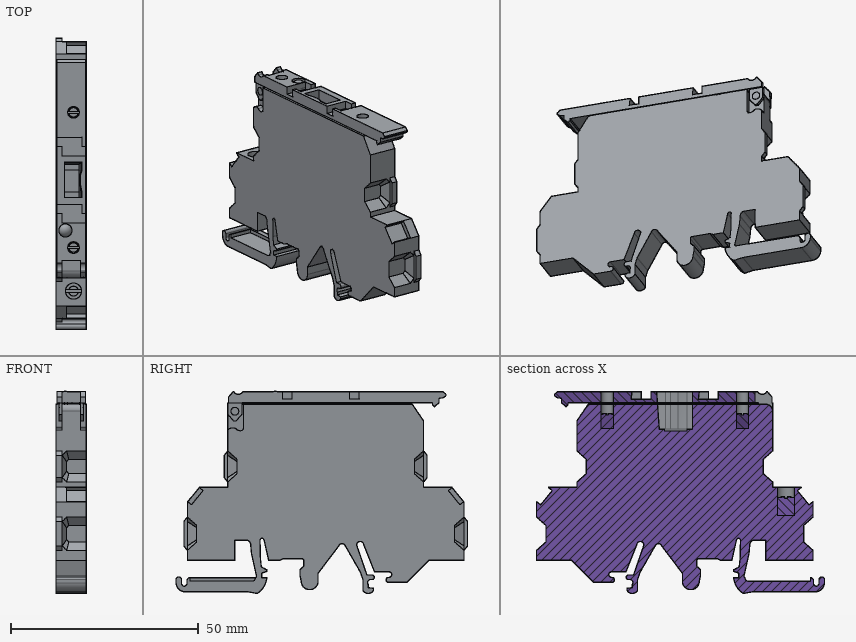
import cadquery as cq
import math


thickness = 8.12
half_thickness = thickness / 2
housing_top = 50.45
tower_half_width = 26.08
ledge_top = 28.35
ledge_half_width = 36.84
ledge_chamfer_start = 33.57
ledge_chamfer_bottom = 24.37
ledge_bottom = 8.82
tower_chamfer_width = 3.04
tower_chamfer_height = 4.45
lever_top = 4.26
lever_recess_depth = 0.95
lever_recess_front_y = -36.1
lever_recess_back_y = -18.7

bump_height = 0.94
bump_root = 1.0
bump_slope = 1.17
side_wall = 1.66
side_wall_inner_x = -half_thickness + side_wall
tower_entry_low = 29.7
tower_entry_high = 38.0
ledge_entry_low = 11.5
ledge_entry_high = 20.4
entry_depth = 2.5
entry_slope_height = 2.25
entry_slope_width = 1.15
entry_mouth_corner = 1.2
entry_floor_corner = 0.6
marker_recess_depth = 1.3
marker_recess_margin = 0.15
marker_recess_x = -1.3

hub_radius = 1.9
hub_half_width = 2.4
hinge_y = -(tower_half_width - hub_radius)
hinge_z = housing_top - hub_radius
hinge_pin_radius = 1.05
hinge_leg_thickness = 0.85
hinge_leg_half_width = 1.9
hinge_leg_tip_half_width = 0.35
hinge_leg_straight = 3.0
hinge_leg_length = 4.75
leg_recess_y = -21.87
leg_recess_front_overrun = 1.0
leg_recess_front_z = 43.5

cover_width = 7.6
cover_gap = 0.3
cover_bottom = housing_top + cover_gap
cover_top = 53.8
hub_notch_y = -21.4
label_recess_depth = 2.05
label_recess_step = 2.45
label_recess_length = 4.95
label_recess_undercut = 0.25
label_recess_starts = (11.35, -6.55)
label_recess_x_low = -2.4
label_recess_x_high = 2.8
window_x_low = -1.75
window_x_high = 2.85
window_rib_x = 2.4
window_floor_x_high = 2.05
window_y_high = 4.8
window_y_low = -4.7
window_rib_base_y = (-3.2, 2.5)
window_rib_crest_y = (-0.9, 1.1)
window_depth = 10.0
window_end_slope = 0.7
window_floor_step = 0.5
window_floor_step_y = (-3.2, 2.7)

screw_x = 0.6
slot_depth = 0.4
head_step_depth = 0.2
cover_screw_y = 18.0
cover_screw_diameter = 3.1
cover_screw_center_diameter = 2.5
cover_screw_slot = 0.5
cover_screw_top = 48.0
cover_screw_length = 4.0
ledge_screw_y = -29.6
ledge_screw_diameter = 4.3
ledge_screw_center_diameter = 2.6
ledge_screw_slot = 0.75
ledge_screw_top = ledge_top - 2.5
ledge_screw_length = 5.0
lamp_x = -1.55
lamp_y = -13.45
lamp_radius = 1.75
lamp_top = 53.9


def side_profile(x):
    """Sketch plane across the thickness: local x is Y, local y is Z."""
    return cq.Workplane("YZ", origin=(x, 0, 0))


def box(x_low, x_high, y_low, y_high, z_low, z_high):
    size = (x_high - x_low, y_high - y_low, z_high - z_low)
    return cq.Workplane("XY").box(*size, centered=False).translate((x_low, y_low, z_low))


def upright_cylinder(x, y, z_low, z_high, radius):
    return cq.Workplane("XY", origin=(x, y, z_low)).circle(radius).extrude(z_high - z_low)


def housing_body():
    """Tower, ledges and rail foot as one outline, drawn from the tower top down the +Y side."""
    outline = (
        side_profile(-half_thickness)
        .moveTo(hinge_y, housing_top)
        .lineTo(tower_half_width - tower_chamfer_width, housing_top)
        .lineTo(tower_half_width, housing_top - tower_chamfer_height)
        .lineTo(tower_half_width, ledge_top)
        .lineTo(ledge_chamfer_start, ledge_top)
        .lineTo(ledge_half_width, ledge_chamfer_bottom)
        .lineTo(ledge_half_width, ledge_bottom)
        .lineTo(27.49, ledge_bottom)
        .lineTo(21.64, 2.97)
        .lineTo(16.75, 2.97)
        .threePointArc((16.05, 3.62), (16.75, 4.35))
        .threePointArc((17.54, 5.05), (16.85, 5.78))
        .lineTo(12.98, 5.78)
        .lineTo(10.06, 13.1)
        .threePointArc((9.0, 13.85), (8.42, 12.5))
        .lineTo(10.99, 5.0)
        .lineTo(12.3, 5.0)
        .threePointArc((12.95, 4.3), (12.3, 3.7))
        .threePointArc((11.35, 3.4), (11.35, 2.4))
        .lineTo(11.35, 1.6)
        .lineTo(12.75, 1.45)
        .lineTo(12.75, 0.9)
        .threePointArc((11.31, 0), (9.87, 0.9))
        .lineTo(9.87, 3.79)
        .lineTo(9.24, 5.66)
        .lineTo(5.2, 12.7)
        .threePointArc((4.4, 13.26), (3.5, 12.68))
        .lineTo(-1.99, 5.43)
        .lineTo(-1.99, 3.32)
        .threePointArc((-4.28, 1.03), (-6.55, 3.32))
        .lineTo(-6.9, 4.96)
        .lineTo(-6.9, 6.36)
        .lineTo(-5.85, 7.3)
        .lineTo(-5.85, 8.7)
        .threePointArc((-5.98, 9.1), (-6.38, 9.24))
        .lineTo(-11.4, 9.24)
        .lineTo(-12.28, ledge_bottom)
        .lineTo(-15.2, ledge_bottom)
        .lineTo(-16.45, 14.3)
        .threePointArc((-16.95, 14.7), (-17.45, 14.3))
        .lineTo(-17.35, 9.4)
        .lineTo(-17.1, 7.1)
        .lineTo(-15.67, 6.36)
        .lineTo(-15.67, 5.89)
        .lineTo(-17.0, 5.43)
        .lineTo(-17.0, 4.26)
        .lineTo(-15.63, 4.26)
        .threePointArc((-16.4, 1.9), (-18.2, 0))
        .lineTo(-20.7, 0.44)
        .lineTo(-37.4, 0.44)
        .threePointArc((-39.1, 1.15), (-39.88, 2.8))
        .lineTo(-39.88, 3.79)
        .threePointArc((-39.12, 4.45), (-38.36, 3.79))
        .lineTo(-38.36, 2.7)
        .threePointArc((-37.66, 2.0), (-36.96, 2.7))
        .lineTo(-36.96, 3.4)
        .threePointArc((-36.8, 3.9), (-36.35, lever_top))
        .lineTo(-18.9, lever_top)
        .threePointArc((-18.5, 4.4), (-18.48, 4.8))
        .lineTo(-19.77, 10.57)
        .lineTo(-20.0, 12.9)
        .threePointArc((-20.25, 13.75), (-21.0, 14.2))
        .lineTo(-24.21, 14.2)
        .lineTo(-24.21, ledge_bottom)
        .lineTo(-ledge_half_width, ledge_bottom)
        .lineTo(-ledge_half_width, ledge_chamfer_bottom)
        .lineTo(-ledge_chamfer_start, ledge_top)
        .lineTo(-tower_half_width, ledge_top)
        .lineTo(-tower_half_width, hinge_z)
        .radiusArc((hinge_y, housing_top), hub_radius)
        .close()
    )
    return outline.extrude(thickness)


def guard_bump(face_y, z_low, z_high):
    """Raised strip on the -X side wall next to a wire entry on the +Y face."""
    bump_y = face_y + bump_height
    outline = [
        (face_y - bump_root, z_low),
        (face_y, z_low),
        (bump_y, z_low + bump_slope),
        (bump_y, z_high - bump_slope),
        (face_y, z_high),
        (face_y - bump_root, z_high),
    ]
    return side_profile(-half_thickness).polyline(outline).close().extrude(side_wall)


def entry_outline(x_low, z_low, z_high, corner):
    """Rectangle open toward +X with its two -X corners cut off, in X and Z."""
    return [
        (half_thickness, z_low),
        (x_low + corner, z_low),
        (x_low, z_low + corner),
        (x_low, z_high - corner),
        (x_low + corner, z_high),
        (half_thickness, z_high),
    ]


def wire_entry(face_y, z_low, z_high):
    """Funnel that narrows from the +Y face inward and is open on the +X side."""
    mouth = entry_outline(side_wall_inner_x, z_low, z_high, entry_mouth_corner)
    floor = entry_outline(
        side_wall_inner_x + entry_slope_width,
        z_low + entry_slope_height,
        z_high - entry_slope_height,
        entry_floor_corner,
    )
    return (
        cq.Workplane("XZ", origin=(0, face_y, 0))
        .polyline(mouth)
        .close()
        .workplane(offset=entry_depth)
        .polyline(floor)
        .close()
        .loft(ruled=True)
    )


def marker_recess():
    """Shallow recess in the sloped edge of the +Y ledge, open on the +X side."""
    run = ledge_half_width - ledge_chamfer_start
    drop = ledge_top - ledge_chamfer_bottom
    slope_length = math.hypot(run, drop)
    along = (run / slope_length, -drop / slope_length)
    outward = (-along[1], along[0])

    def slope_point(distance, height):
        return (
            ledge_chamfer_start + along[0] * distance + outward[0] * height,
            ledge_top + along[1] * distance + outward[1] * height,
        )

    first = marker_recess_margin
    last = slope_length - marker_recess_margin
    outline = [
        slope_point(first, marker_recess_depth),
        slope_point(last, marker_recess_depth),
        slope_point(last, -marker_recess_depth),
        slope_point(first, -marker_recess_depth),
    ]
    return side_profile(marker_recess_x).polyline(outline).close().extrude(half_thickness - marker_recess_x)


def leg_recess():
    """Room for a hinge leg beside the hub on the +X side, with a wavy bottom edge."""
    front_y = -tower_half_width - leg_recess_front_overrun
    return (
        side_profile(hub_half_width)
        .moveTo(leg_recess_y, housing_top)
        .lineTo(leg_recess_y, 44.3)
        .threePointArc((-22.15, 43.6), (-22.8, 43.35))
        .threePointArc((-23.4, 43.5), (-23.9, 43.9))
        .threePointArc((-24.3, 44.1), (-24.8, 44.15))
        .threePointArc((-25.5, 43.95), (-tower_half_width, leg_recess_front_z))
        .lineTo(front_y, leg_recess_front_z)
        .lineTo(front_y, housing_top)
        .close()
        .extrude(half_thickness - hub_half_width)
    )


def hinge_pins(length):
    """Pin of the hinge, reaching from the middle plane to both sides."""
    return side_profile(-length).center(hinge_y, hinge_z).circle(hinge_pin_radius).extrude(2 * length)


def both_ends(shape):
    return [shape, shape.mirror("XZ")]


def lever_recess():
    """Lowered top of the release lever and its root, open on the +X side."""
    floor_z = lever_top - lever_recess_depth
    return (
        side_profile(side_wall_inner_x)
        .moveTo(lever_recess_front_y, lever_top)
        .lineTo(lever_recess_front_y, floor_z)
        .lineTo(lever_recess_back_y - lever_recess_depth, floor_z)
        .radiusArc((lever_recess_back_y, lever_top), -lever_recess_depth)
        .close()
        .extrude(half_thickness - side_wall_inner_x)
    )


def window_outline(x_high, rib_x, y_high):
    """Plan of the window, with a rib bulging inward from its +X wall."""
    return [
        (window_x_low, window_y_low),
        (x_high, window_y_low),
        (x_high, window_rib_base_y[0]),
        (rib_x, window_rib_crest_y[0]),
        (rib_x, window_rib_crest_y[1]),
        (x_high, window_rib_base_y[1]),
        (x_high, y_high),
        (window_x_low, y_high),
    ]


def window_well():
    """Well through the cover into the housing, with sloped +X and +Y walls and a stepped floor."""
    floor_z = cover_top - window_depth
    mouth = window_outline(window_x_high, window_rib_x, window_y_high)
    floor = window_outline(window_floor_x_high, window_floor_x_high, window_y_high - window_end_slope)
    well = (
        cq.Workplane("XY", origin=(0, 0, cover_top))
        .polyline(mouth)
        .close()
        .workplane(offset=-window_depth)
        .polyline(floor)
        .close()
        .loft(ruled=True)
    )
    step = box(
        window_x_low,
        window_floor_x_high,
        *window_floor_step_y,
        floor_z - window_floor_step,
        floor_z + window_floor_step,
    )
    return well.union(step)


housing = housing_body()
entries = (
    (tower_half_width, tower_entry_low, tower_entry_high),
    (ledge_half_width, ledge_entry_low, ledge_entry_high),
)
for entry in entries:
    for bump in both_ends(guard_bump(*entry)):
        housing = housing.union(bump)
    for funnel in both_ends(wire_entry(*entry)):
        housing = housing.cut(funnel)
for recess in both_ends(marker_recess()):
    housing = housing.cut(recess)
for recess in (leg_recess(), leg_recess().mirror("YZ")):
    housing = housing.cut(recess)
housing = housing.cut(lever_recess())
housing = housing.union(hinge_pins(hub_half_width + hinge_leg_thickness))
housing = housing.cut(window_well())


def slotted_screw(y, top, length, diameter, center_diameter, slot_width):
    """Slotted screw whose head has a raised center."""
    rim_top = top - head_step_depth
    screw = upright_cylinder(screw_x, y, top - length, rim_top, diameter / 2)
    screw = screw.union(upright_cylinder(screw_x, y, rim_top, top, center_diameter / 2))
    slot = box(
        screw_x - diameter,
        screw_x + diameter,
        y - slot_width / 2,
        y + slot_width / 2,
        top - slot_depth,
        top,
    )
    return screw.cut(slot)


cover_screw_positions = (cover_screw_y, -cover_screw_y)
cover_screws = []
for y in cover_screw_positions:
    cover_screws.append(
        slotted_screw(
            y,
            cover_screw_top,
            cover_screw_length,
            cover_screw_diameter,
            cover_screw_center_diameter,
            cover_screw_slot,
        )
    )
    bore_bottom = cover_screw_top - cover_screw_length
    housing = housing.cut(upright_cylinder(screw_x, y, bore_bottom, housing_top, cover_screw_diameter / 2))

ledge_screw = slotted_screw(
    ledge_screw_y,
    ledge_screw_top,
    ledge_screw_length,
    ledge_screw_diameter,
    ledge_screw_center_diameter,
    ledge_screw_slot,
)
ledge_bore_bottom = ledge_screw_top - ledge_screw_length
housing = housing.cut(
    upright_cylinder(screw_x, ledge_screw_y, ledge_bore_bottom, ledge_top, ledge_screw_diameter / 2)
)


lamp_shoulder = lamp_top - lamp_radius
lamp_body = upright_cylinder(lamp_x, lamp_y, cover_bottom, lamp_shoulder, lamp_radius)
lamp_dome = cq.Workplane("XY", origin=(lamp_x, lamp_y, lamp_shoulder)).sphere(lamp_radius, angle1=0)
lamp = lamp_body.union(lamp_dome)


def cover_body():
    """Bar with a latch nose at the +Y end and a scalloped finger grip at the hinge end."""
    outline = (
        side_profile(-cover_width / 2)
        .moveTo(-25.92, cover_bottom)
        .lineTo(28.35, cover_bottom)
        .lineTo(28.45, 50.22)
        .lineTo(28.94, 49.73)
        .lineTo(30.18, 50.81)
        .lineTo(30.18, 51.98)
        .lineTo(31.23, 52.09)
        .lineTo(32.05, 52.68)
        .lineTo(32.05, 53.03)
        .lineTo(31.23, cover_top)
        .lineTo(-22.05, cover_top)
        .lineTo(-22.4, 53.4)
        .threePointArc((-23.2, 53.1), (-24.1, 53.35))
        .lineTo(-24.56, 53.87)
        .lineTo(-25.92, 52.3)
        .close()
    )
    return outline.extrude(cover_width)


def hinge_leg():
    """Pointed leg beside the hub on the +X side, bored for the pin."""
    y_back = hinge_y + hinge_leg_half_width
    y_front = hinge_y - hinge_leg_half_width
    shoulder_z = cover_bottom - hinge_leg_straight
    tip_z = cover_bottom - hinge_leg_length
    outline = [
        (y_back, cover_bottom),
        (y_back, shoulder_z),
        (hinge_y + hinge_leg_tip_half_width, tip_z),
        (hinge_y - hinge_leg_tip_half_width, tip_z),
        (y_front, shoulder_z),
        (y_front, cover_bottom),
    ]
    leg = side_profile(hub_half_width).polyline(outline).close().extrude(hinge_leg_thickness)
    return leg.cut(hinge_pins(half_thickness))


def label_recess(start_y):
    """Stepped recess: the part open on the -X side has an undercut wall, the other opens on +X."""
    z_low = cover_top - label_recess_depth
    step_y = start_y - label_recess_step
    end_y = start_y - label_recess_length
    undercut_outline = [
        (start_y, cover_top),
        (start_y + label_recess_undercut, z_low),
        (step_y, z_low),
        (step_y, cover_top),
    ]
    open_left = (
        side_profile(-half_thickness)
        .polyline(undercut_outline)
        .close()
        .extrude(label_recess_x_high + half_thickness)
    )
    open_right = box(label_recess_x_low, half_thickness, end_y, step_y, z_low, cover_top)
    return open_left.union(open_right)


cover = cover_body()
for leg in (hinge_leg(), hinge_leg().mirror("YZ")):
    cover = cover.union(leg)
cover = cover.cut(
    box(-hub_half_width, hub_half_width, -tower_half_width, hub_notch_y, cover_bottom, lamp_top)
)
for start in label_recess_starts:
    cover = cover.cut(label_recess(start))
cover = cover.cut(window_well())
for y in cover_screw_positions:
    cover = cover.cut(upright_cylinder(screw_x, y, cover_bottom, cover_top, cover_screw_diameter / 2))
cover = cover.cut(upright_cylinder(lamp_x, lamp_y, cover_bottom, cover_top, lamp_radius))

bodies = [housing, cover, lamp, ledge_screw, *cover_screws]
result = cq.Compound.makeCompound([body.val() for body in bodies])